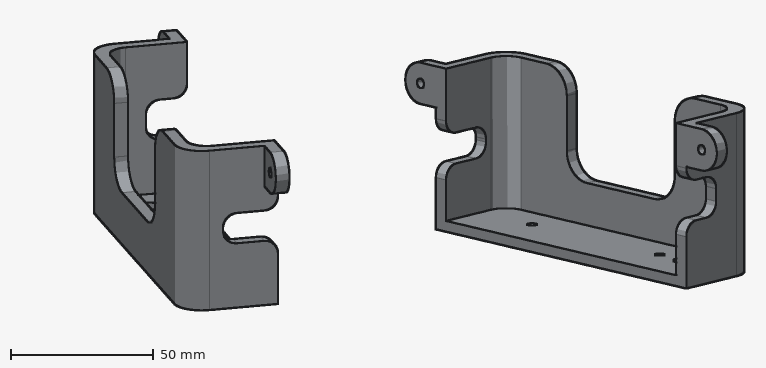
import cadquery as cq

overall_width = 153.0
depth = 35.0
height = 59.0
wall = 5.0
floor_thickness = 4.0
outer_corner_radius = 10.0
inner_corner_radius = 7.5

ear_height = 15.0
ear_radius = ear_height / 2
ear_reach = 15.0
screw_hole_diameter = 3.4
ear_hole_x = overall_width / 2 - ear_radius
ear_hole_z = height - ear_radius

body_width = overall_width - 2 * ear_reach
body_half = body_width / 2

opening_width = 53.0
opening_bottom = 19.3
opening_radius = 10.0

notch_bottom = 23.9
notch_radius = 5.0
left_notch_top = 38.5
left_notch_depth = 15.0
right_notch_top = 35.0
right_notch_depth = left_notch_depth + notch_radius

floor_hole_y = depth / 2
floor_screw_x = 31.4
cable_hole_diameter = 8.0
cable_hole_x = -43.6


def block(x_min, x_max, y_min, y_max, z_min, z_max):
    """Box given by its limits along each axis."""
    size = (x_max - x_min, y_max - y_min, z_max - z_min)
    return cq.Workplane("XY").box(*size, centered=False).translate((x_min, y_min, z_min))


def make_tray():
    """Floor with a wall on three sides, open at the back and top."""
    outside = block(-body_half, body_half, 0, depth, 0, height)
    outside = outside.edges("|Z and <Y").fillet(outer_corner_radius)
    inner_half = body_half - wall
    inside = block(-inner_half, inner_half, wall, depth + wall, floor_thickness, height + wall)
    inside = inside.edges("|Z and <Y").fillet(inner_corner_radius)
    return outside.cut(inside)


def make_ear(side):
    """Ear with a rounded end and a screw hole; side is -1 for left, 1 for right."""
    root_x = side * (body_half - wall)
    hole_x = side * ear_hole_x
    tab = block(min(root_x, hole_x), max(root_x, hole_x), depth - wall, depth, height - ear_height, height)
    rounded_end = (
        cq.Workplane("XZ", origin=(0, depth, 0))
        .center(hole_x, ear_hole_z)
        .circle(ear_radius)
        .extrude(wall)
    )
    hole = (
        cq.Workplane("XZ", origin=(0, depth, 0))
        .center(hole_x, ear_hole_z)
        .circle(screw_hole_diameter / 2)
        .extrude(wall)
    )
    return tab.union(rounded_end).cut(hole)


def cut_front_opening(body):
    """U-shaped opening in the front wall with rounded bottom and top corners."""
    half = opening_width / 2
    opening = (
        cq.Workplane("XZ")
        .moveTo(-half - opening_radius, height)
        .radiusArc((-half, height - opening_radius), opening_radius)
        .lineTo(-half, opening_bottom + opening_radius)
        .radiusArc((-half + opening_radius, opening_bottom), -opening_radius)
        .lineTo(half - opening_radius, opening_bottom)
        .radiusArc((half, opening_bottom + opening_radius), -opening_radius)
        .lineTo(half, height - opening_radius)
        .radiusArc((half + opening_radius, height), opening_radius)
        .close()
        .extrude(-wall)
    )
    return body.cut(opening)


def cut_side_notch(body, wall_x, notch_top, notch_depth):
    """Notch through the side wall starting at wall_x, with rounded ends and a flared mouth."""
    end_y = depth - notch_depth
    r = notch_radius
    notch = (
        cq.Workplane("YZ", origin=(wall_x, 0, 0))
        .moveTo(depth, notch_top + r)
        .radiusArc((depth - r, notch_top), r)
        .lineTo(end_y + r, notch_top)
        .radiusArc((end_y, notch_top - r), -r)
        .lineTo(end_y, notch_bottom + r)
        .radiusArc((end_y + r, notch_bottom), -r)
        .lineTo(depth - r, notch_bottom)
        .radiusArc((depth, notch_bottom - r), r)
        .close()
        .extrude(wall)
    )
    return body.cut(notch)


def cut_floor_hole(body, x, diameter):
    """Vertical round hole through the floor."""
    hole = cq.Workplane("XY").center(x, floor_hole_y).circle(diameter / 2).extrude(floor_thickness)
    return body.cut(hole)


result = make_tray()
result = cut_front_opening(result)
result = cut_side_notch(result, -body_half, left_notch_top, left_notch_depth)
result = cut_side_notch(result, body_half - wall, right_notch_top, right_notch_depth)
for ear_side in (-1, 1):
    result = result.union(make_ear(ear_side))
    result = cut_floor_hole(result, ear_side * floor_screw_x, screw_hole_diameter)
result = cut_floor_hole(result, cable_hole_x, cable_hole_diameter)